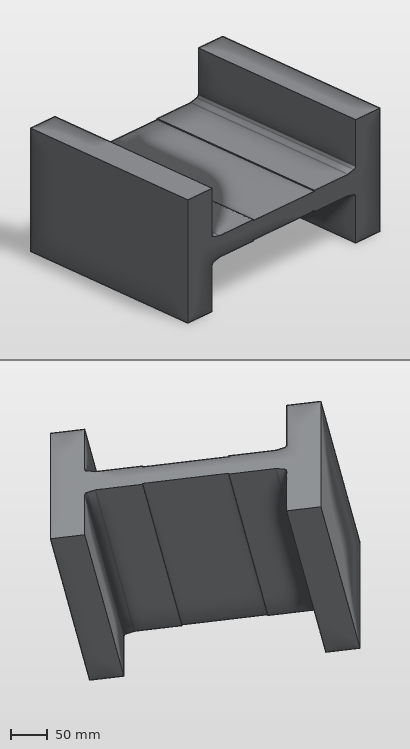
import cadquery as cq

length = 300.0
width = 375.0
height = 190.0

flange_thickness = 47.5
web_thickness = 33.0
recess_width = 119.2
recess_thickness = 30.0

taper_width = 14.5
taper_rise = 3.8
root_radius = 4.0

flange_inner_y = width / 2 - flange_thickness
taper_start_y = flange_inner_y - taper_width
web_half = web_thickness / 2
root_half = web_half + taper_rise


def make_flange(side):
    """Flat plate closing the web at one end; side is +1 or -1 along Y."""
    flange_center_y = side * (width - flange_thickness) / 2
    return cq.Workplane("XY").box(length, flange_thickness, height).translate((0, flange_center_y, 0))


def make_web():
    """Web between the flanges, tapered thicker at both ends."""
    return (
        cq.Workplane("YZ")
        .moveTo(-flange_inner_y, -root_half)
        .lineTo(-taper_start_y, -web_half)
        .lineTo(taper_start_y, -web_half)
        .lineTo(flange_inner_y, -root_half)
        .lineTo(flange_inner_y, root_half)
        .lineTo(taper_start_y, web_half)
        .lineTo(-taper_start_y, web_half)
        .lineTo(-flange_inner_y, root_half)
        .close()
        .extrude(length / 2, both=True)
    )


def make_recess(side):
    """Shallow band removed from the web face on the given side along Z."""
    depth = (web_thickness - recess_thickness) / 2
    center_z = side * (recess_thickness + depth) / 2
    return cq.Workplane("XY").box(length, recess_width, depth).translate((0, 0, center_z))


result = make_web()
for side in (-1, 1):
    result = result.union(make_flange(side))

for side_y in (-1, 1):
    for side_z in (-1, 1):
        root_corner = cq.NearestToPointSelector((0, side_y * flange_inner_y, side_z * root_half))
        result = result.edges("|X").edges(root_corner).fillet(root_radius)

for side in (-1, 1):
    result = result.cut(make_recess(side))